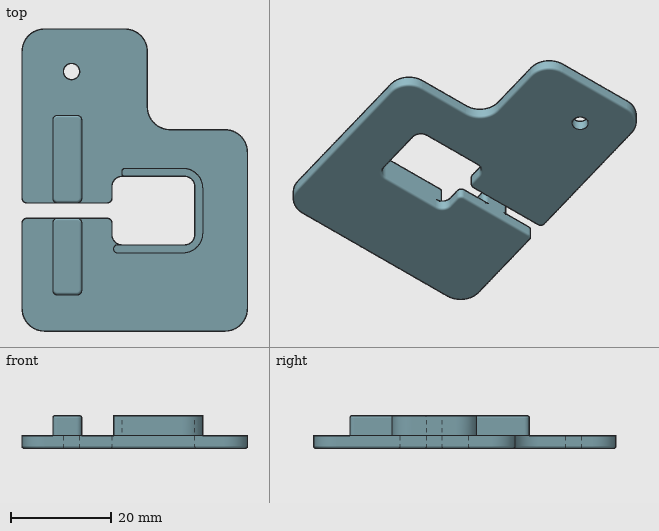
import cadquery as cq

plate_width = 45.05
plate_length = 60.4
plate_thickness = 2.6
arm_width = 25.05
shoulder_y = 40.3
plate_corner_radius = 4.5
bottom_edge_radius = 0.5

total_height = 6.6
raised_height = total_height - plate_thickness

hole_diameter = 3.2
hole_x = 9.9
hole_y = 51.9

window_left = 18.0
window_right = 34.5
window_bottom = 17.3
window_top = 30.9
window_corner_radius = 2.0

slot_bottom = 22.6
slot_width = 3.0
slot_top = slot_bottom + slot_width
slot_corner_radius = 0.95

wall_thickness = 1.65
wall_outer_radius = 2 * window_corner_radius
wall_upper_start = window_left + window_corner_radius
wall_lower_start = 18.3
wall_upper_end_radius = 0.6
wall_lower_end_radius = 0.8

bar_left = 6.15
bar_width = 5.8
upper_bar_length = 17.5
lower_bar_length = 15.35
bar_corner_radius = 0.95
bar_top_radius = 0.5


def box(left, bottom, right, top, base, height):
    """Block between two opposite plan corners, standing on the level base."""
    return (
        cq.Workplane("XY", origin=(left, bottom, base))
        .box(right - left, top - bottom, height, centered=False)
    )


def vertical_edge_at(x, y):
    """Selector for the vertical edge at a plan position."""
    margin = 0.05
    low = (x - margin, y - margin, -margin)
    high = (x + margin, y + margin, total_height + margin)
    return cq.selectors.BoxSelector(low, high)


def make_plate():
    outline = [
        (0, 0),
        (plate_width, 0),
        (plate_width, shoulder_y),
        (arm_width, shoulder_y),
        (arm_width, plate_length),
        (0, plate_length),
    ]
    plate = (
        cq.Workplane("XY").polyline(outline).close().extrude(plate_thickness)
        .edges("|Z").fillet(plate_corner_radius)
    )
    window = box(
        window_left, window_bottom, window_right, window_top, 0, plate_thickness
    ).edges("|Z").fillet(window_corner_radius)
    slot = box(0, slot_bottom, window_left, slot_top, 0, plate_thickness)
    plate = plate.cut(window).cut(slot)
    for x in (0, window_left):
        for y in (slot_bottom, slot_top):
            plate = plate.edges(vertical_edge_at(x, y)).fillet(slot_corner_radius)
    plate = plate.faces("<Z").edges().fillet(bottom_edge_radius)
    hole = (
        cq.Workplane("XY").center(hole_x, hole_y)
        .circle(hole_diameter / 2).extrude(plate_thickness)
    )
    return plate.cut(hole)


def make_wall():
    outer_right = window_right + wall_thickness
    outer_bottom = window_bottom - wall_thickness
    outer_top = window_top + wall_thickness
    outline = [
        (wall_lower_start, outer_bottom),
        (outer_right, outer_bottom),
        (outer_right, outer_top),
        (wall_upper_start, outer_top),
        (wall_upper_start, window_top),
        (window_right, window_top),
        (window_right, window_bottom),
        (wall_lower_start, window_bottom),
    ]
    wall = (
        cq.Workplane("XY", origin=(0, 0, plate_thickness))
        .polyline(outline).close().extrude(raised_height)
    )
    rounded_corners = [
        (outer_right, outer_bottom, wall_outer_radius),
        (outer_right, outer_top, wall_outer_radius),
        (window_right, window_bottom, window_corner_radius),
        (window_right, window_top, window_corner_radius),
        (wall_upper_start, outer_top, wall_upper_end_radius),
        (wall_upper_start, window_top, wall_upper_end_radius),
        (wall_lower_start, outer_bottom, wall_lower_end_radius),
        (wall_lower_start, window_bottom, wall_lower_end_radius),
    ]
    for x, y, radius in rounded_corners:
        wall = wall.edges(vertical_edge_at(x, y)).fillet(radius)
    return wall


def make_bar(bottom, length):
    bar = box(
        bar_left, bottom, bar_left + bar_width, bottom + length, plate_thickness, raised_height
    )
    return (
        bar.edges("|Z").fillet(bar_corner_radius)
        .faces(">Z").edges().fillet(bar_top_radius)
    )


upper_bar = make_bar(slot_top, upper_bar_length)
lower_bar = make_bar(slot_bottom - lower_bar_length, lower_bar_length)

result = make_plate().union(make_wall()).union(upper_bar).union(lower_bar)